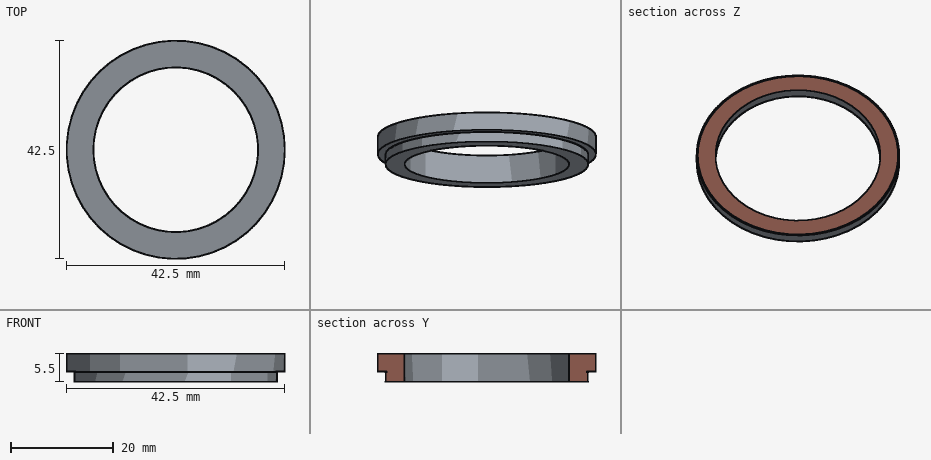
import cadquery as cq

flange_diameter = 42.5
spigot_diameter = 39.5
bore_diameter = 32.0
total_height = 5.5
shoulder_height = 2.0

relief_width = 0.1
relief_depth = 0.2
relief_diameter = spigot_diameter - 2 * relief_depth


def add_step(body, diameter, height):
    """Stack a coaxial disc on top of the body."""
    return body.faces(">Z").workplane().circle(diameter / 2).extrude(height)


spigot = cq.Workplane("XY").circle(spigot_diameter / 2).extrude(shoulder_height - relief_width)

neck = add_step(spigot, relief_diameter, relief_width)
blank = add_step(neck, flange_diameter, total_height - shoulder_height)

result = blank.faces(">Z").workplane().hole(bore_diameter)